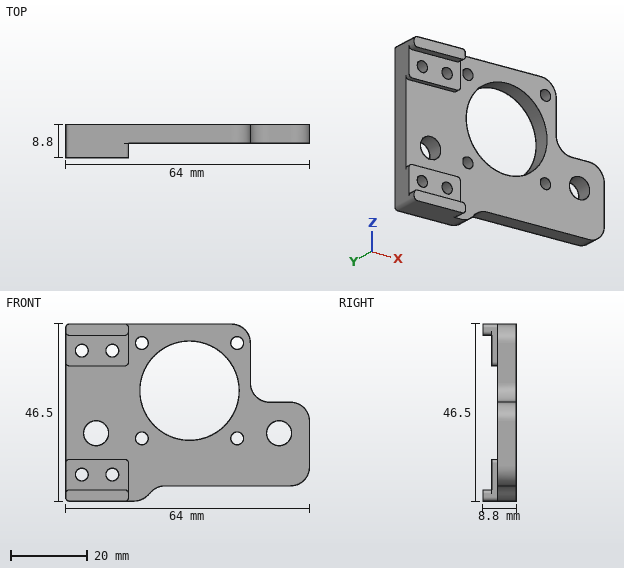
import cadquery as cq

plate_length = 64.0
plate_height = 46.5
plate_thickness = 5.0
body_width = 48.5
arm_top = 26.0
arm_bottom = 4.0
ramp_start = 20.0
ramp_end = ramp_start + arm_bottom
outline_radius = 5.0
corner_radius = 1.0

pad_length = 16.5
pad_width = 11.0
pad_level = 6.5
lip_width = 3.0
lip_level = 8.8
pad_hole_diameter = 3.3
pad_hole_spacing = 8.0
pad_hole_first_x = (pad_length - pad_hole_spacing) / 2
pad_hole_inset = 7.0

bore_diameter = 26.0
bore_x = 32.5
bore_z = 29.0
screw_hole_diameter = 3.3
screw_hole_spacing = 25.0

large_hole_diameter = 6.5
large_hole_first_x = 8.0
large_hole_spacing = 48.0
large_hole_z = 17.85


def make_plate():
    outline = [
        (0, 0),
        (ramp_start, 0),
        (ramp_end, arm_bottom),
        (plate_length, arm_bottom),
        (plate_length, arm_top),
        (body_width, arm_top),
        (body_width, plate_height),
        (0, plate_height),
    ]
    plate = cq.Workplane("XZ").polyline(outline).close().extrude(plate_thickness)
    plate = plate.edges("|Y").edges("not <X").fillet(outline_radius)
    return plate.edges("|Y").edges("<X").fillet(corner_radius)


def make_block(bottom, width, level):
    """Rounded block on the left edge, rising from the back of the plate to the given level."""
    block = cq.Workplane("XZ").rect(pad_length, width).extrude(level)
    block = block.edges("|Y").fillet(corner_radius)
    return block.translate((pad_length / 2, 0, bottom + width / 2))


def cut_holes(body, points, diameter):
    holes = cq.Workplane("XZ").pushPoints(points).circle(diameter / 2).extrude(lip_level)
    return body.cut(holes)


def add_pads(body):
    for pad_bottom in (0, plate_height - pad_width):
        body = body.union(make_block(pad_bottom, pad_width, pad_level))
    for lip_bottom in (0, plate_height - lip_width):
        body = body.union(make_block(lip_bottom, lip_width, lip_level))
    return body


pad_holes = [
    (x, z)
    for x in (pad_hole_first_x, pad_hole_first_x + pad_hole_spacing)
    for z in (pad_hole_inset, plate_height - pad_hole_inset)
]
screw_holes = [
    (bore_x + side_x * screw_hole_spacing / 2, bore_z + side_z * screw_hole_spacing / 2)
    for side_x in (-1, 1)
    for side_z in (-1, 1)
]
large_holes = [
    (large_hole_first_x, large_hole_z),
    (large_hole_first_x + large_hole_spacing, large_hole_z),
]

result = add_pads(make_plate())
result = cut_holes(result, pad_holes, pad_hole_diameter)
result = cut_holes(result, [(bore_x, bore_z)], bore_diameter)
result = cut_holes(result, screw_holes, screw_hole_diameter)
result = cut_holes(result, large_holes, large_hole_diameter)